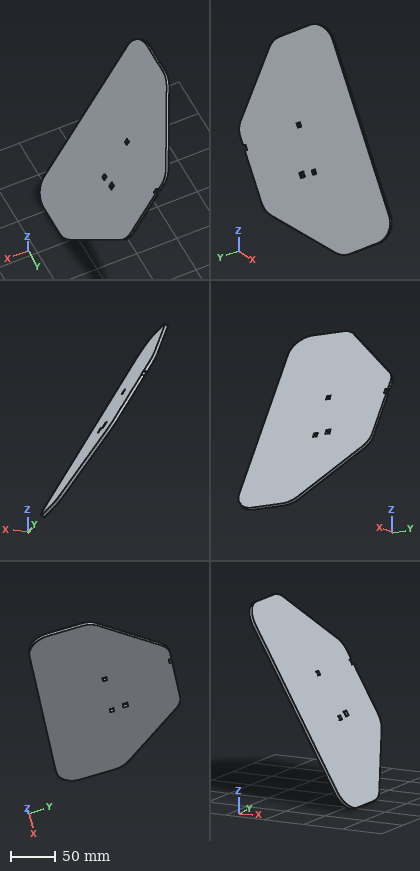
import cadquery as cq

PLATE_LENGTH = 258.72
PLATE_DEPTH = 155.5
PLATE_THICKNESS = 4.0
CORNER_CUT = 80.0
CORNER_RADIUS = 25.0
TILT_FROM_VERTICAL = 30.0

SLOT_SPACING = 56.0
SLOT_LENGTH = 5.0
SLOT_WIDTH = 4.5
SLOT_Y = -0.75

LOCATOR_OFFSET = 26.0
WINDOW_LENGTH = 6.0
WINDOW_WIDTH = 5.5
WINDOW_Y = 15.4
NOTCH_LENGTH = 6.0
NOTCH_DEPTH = 3.3

HALF_LENGTH = PLATE_LENGTH / 2
REAR_Y = PLATE_DEPTH / 2
FRONT_Y = -REAR_Y


def plate_blank():
    """Flat plate: local X runs up the slope, local Y is the part's Y."""
    outline = [
        (-HALF_LENGTH, FRONT_Y),
        (HALF_LENGTH, FRONT_Y),
        (HALF_LENGTH, REAR_Y - CORNER_CUT),
        (HALF_LENGTH - CORNER_CUT, REAR_Y),
        (-HALF_LENGTH + CORNER_CUT, REAR_Y),
        (-HALF_LENGTH, REAR_Y - CORNER_CUT),
    ]
    blank = cq.Workplane("XY").polyline(outline).close().extrude(PLATE_THICKNESS / 2, both=True)
    return blank.edges("|Z").fillet(CORNER_RADIUS)


def rectangular_cutter(slope_position, y, length, width):
    """Block that pierces the full plate thickness, centred at the given place."""
    return cq.Workplane("XY").box(length, width, 2 * PLATE_THICKNESS).translate((slope_position, y, 0))


def cut_openings(plate):
    for slope_position in (-SLOT_SPACING / 2, SLOT_SPACING / 2):
        plate = plate.cut(rectangular_cutter(slope_position, SLOT_Y, SLOT_LENGTH, SLOT_WIDTH))
    plate = plate.cut(rectangular_cutter(-LOCATOR_OFFSET, WINDOW_Y, WINDOW_LENGTH, WINDOW_WIDTH))
    return plate.cut(rectangular_cutter(LOCATOR_OFFSET, REAR_Y, NOTCH_LENGTH, 2 * NOTCH_DEPTH))


def tilt(plate):
    """Stand the flat plate up about Y so that local +X points up and toward -X."""
    return plate.rotate((0, 0, 0), (0, 1, 0), -(90 + TILT_FROM_VERTICAL))


result = tilt(cut_openings(plate_blank()))